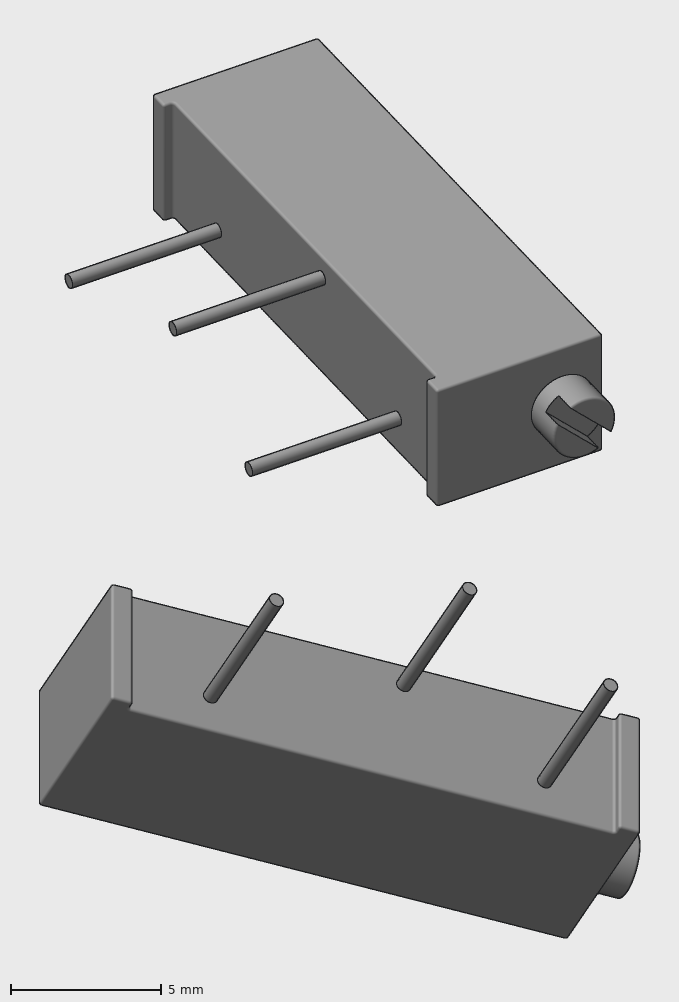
import cadquery as cq

body_length = 19.05
body_depth = 6.35
body_height = 4.83
foot_length = 0.76
foot_depth = 0.38
edge_radius = 0.1

pin_diameter = 0.51
pin_reach = 5.33
pin_row_spacing = 2.54
lower_pin_z = 1.43
upper_pin_z = lower_pin_z + pin_row_spacing
pin_positions = [(3.71, lower_pin_z), (10.67, upper_pin_z), (15.75, lower_pin_z)]

screw_diameter = 2.36
screw_length = 1.52
screw_inset = 1.56
screw_y = body_depth - screw_inset
screw_z = 2.49
screw_tip_radius = 0.1
slot_width = 0.7
slot_depth = 0.79
slot_angle = 45


def make_housing():
    """Box with every edge rounded and a recess that leaves a foot at each end."""
    recess_length = body_length - 2 * foot_length
    housing = cq.Workplane("XY").box(body_length, body_depth, body_height, centered=False)
    recess = (
        cq.Workplane("XY")
        .box(recess_length, foot_depth, body_height, centered=False)
        .translate((foot_length, 0, 0))
    )
    housing = housing.cut(recess)
    return housing.edges().fillet(edge_radius)


def make_pin(x, z):
    """Round pin from the recess floor to its free end."""
    return (
        cq.Workplane("XZ", origin=(x, foot_depth, z))
        .circle(pin_diameter / 2)
        .extrude(foot_depth + pin_reach)
    )


def make_screw():
    """Round screw head with a softened rim and a tilted slot across its end."""
    head = (
        cq.Workplane("YZ")
        .circle(screw_diameter / 2)
        .extrude(screw_length)
        .faces(">X")
        .edges()
        .fillet(screw_tip_radius)
    )
    slot = (
        cq.Workplane("XY")
        .box(slot_depth, slot_width, 2 * screw_diameter)
        .translate((screw_length - slot_depth / 2, 0, 0))
        .rotate((0, 0, 0), (1, 0, 0), slot_angle)
    )
    return head.cut(slot).translate((body_length, screw_y, screw_z))


result = make_housing().union(make_screw())
for pin_x, pin_z in pin_positions:
    result = result.union(make_pin(pin_x, pin_z))